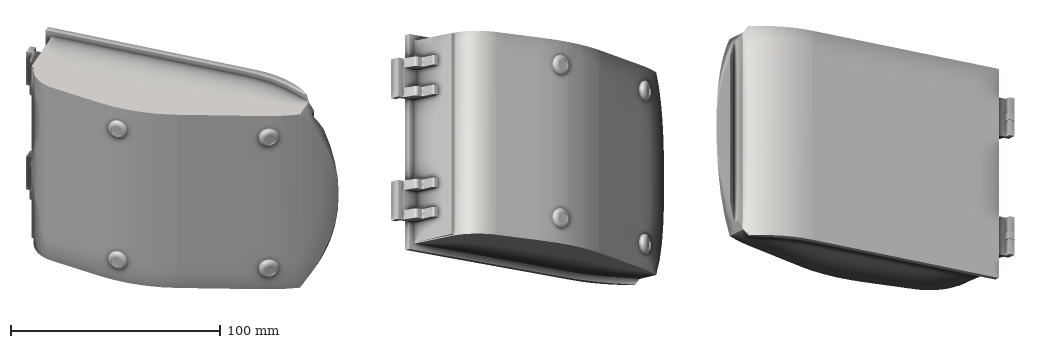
import cadquery as cq
import math


plate_height = 105.0
plate_thickness = 3.0
plate_middle_y = -plate_thickness / 2
plate_arc_start = 107.0
plate_arc_radius = 45.0
step_arc_start = 102.0
step_arc_radius = 65.0
step_arc_end = 131.0

body_height = plate_height - 2 * plate_thickness
body_left = plate_thickness
left_corner = (5.2, -42.3)
belly_corner = (64.3, -52.15)
nose_arc_start = (121.0, -32.6)
nose_arc_middle = (138.0, -24.8)
left_corner_radius = 17.0
belly_radius = 79.0

nose_tip_x = 153.5
nose_back_y = -13.0
nose_radius = 87.4
groove_x = 140.9
groove_depth = 3.5
groove_end_x = 145.8

wall_end_y = -30.0
wall_inset = 0.5
wall_height = body_height - 2 * wall_inset
wall_thickness = 3.0

hinge_width = 19.0
hinge_offset = 29.85
rib_width = 4.6
hook_left = -9.0
hook_right = -6.0
hook_bottom = -5.2
web_front = -5.7
rib_foot_x = -0.5
rib_foot_y = -13.1
rib_end_y = -21.0
rib_foot_fillet = 0.8
rib_tip_chamfer = 0.6
rib_round_start = (-4.9, -11.3)
rib_round_end_x = -3.4
rib_round_middle = (-4.4, -12.5)
nub_width = 3.6
nub_length = 3.2
nub_right = -5.5
nub_top = 0.5

screw_offset_z = 37.4
head_diameter = 10.0
head_rim = 0.7
head_height = 2.0
head_root = 2.0
dome_middle = (4.2, 1.55)
socket_width = 5.4
socket_depth = 0.5
belly_screw = (54.9, -50.0)
belly_screw_tilt = 0.0
nose_screw = (125.0, -31.5)
nose_screw_tilt = 33.0


def centered_prism(outline, height, z=0.0):
    """Extrude a closed XY outline so that its mid-height lies at z."""
    return outline.extrude(height).translate((0, 0, z - height / 2))


def nearest_edge(corner):
    """Selector for the Z edge through an XY corner."""
    return cq.selectors.NearestToPointSelector((*corner, 0))


def point_on_arc(start_x, start_y, radius, x):
    """Point at x on an arc that leaves (start_x, start_y) along +X and bends to -Y."""
    return (x, start_y - radius + math.sqrt(radius**2 - (x - start_x) ** 2))


def back_arc_points():
    """Middle and end of the rounded back, where it meets the nose."""
    drop = -nose_back_y
    end_x = plate_arc_start + math.sqrt(plate_arc_radius**2 - (plate_arc_radius - drop) ** 2)
    middle_x = (plate_arc_start + end_x) / 2
    middle = point_on_arc(plate_arc_start, 0, plate_arc_radius, middle_x)
    return middle, (end_x, nose_back_y)


def make_plate():
    back_middle, back_end = back_arc_points()
    step_middle_x = (step_arc_start + step_arc_end) / 2
    step_start = (step_arc_start, -plate_thickness)
    step_middle = point_on_arc(*step_start, step_arc_radius, step_middle_x)
    step_end = point_on_arc(*step_start, step_arc_radius, step_arc_end)
    outline = (
        cq.Workplane("XY")
        .lineTo(plate_arc_start, 0)
        .threePointArc(back_middle, back_end)
        .lineTo(*step_end)
        .threePointArc(step_middle, step_start)
        .lineTo(0, -plate_thickness)
        .close()
    )
    return centered_prism(outline, plate_height)


def make_body():
    back_middle, back_end = back_arc_points()
    outline = (
        cq.Workplane("XY")
        .moveTo(body_left, plate_middle_y)
        .lineTo(plate_arc_start, plate_middle_y)
        .lineTo(plate_arc_start, 0)
        .threePointArc(back_middle, back_end)
        .lineTo(groove_x, nose_back_y)
        .lineTo(groove_x, nose_back_y - groove_depth)
        .lineTo(groove_end_x, nose_back_y)
        .lineTo(nose_tip_x, nose_back_y)
        .threePointArc(nose_arc_middle, nose_arc_start)
        .lineTo(*belly_corner)
        .lineTo(*left_corner)
        .lineTo(body_left, -plate_thickness)
        .close()
    )
    body = centered_prism(outline, body_height)
    body = body.edges(nearest_edge(left_corner)).fillet(left_corner_radius)
    return body.edges(nearest_edge(belly_corner)).fillet(belly_radius)


def block(x_range, y_range, height, z):
    """Box between two X and two Y limits, centred on z."""
    (x0, x1), (y0, y1) = x_range, y_range
    return cq.Workplane("XY").box(x1 - x0, y1 - y0, height).translate(((x0 + x1) / 2, (y0 + y1) / 2, z))


def make_hinge_wall():
    x_range = (body_left, body_left + wall_thickness)
    return block(x_range, (wall_end_y, plate_middle_y), wall_height, 0)


def make_rib(z):
    outline = (
        cq.Workplane("XY")
        .moveTo(hook_right, -plate_thickness)
        .lineTo(body_left, -plate_thickness)
        .lineTo(body_left, rib_end_y)
        .lineTo(rib_foot_x + rib_tip_chamfer, rib_end_y)
        .lineTo(rib_foot_x, rib_end_y + rib_tip_chamfer)
        .lineTo(rib_foot_x, rib_foot_y - rib_foot_fillet)
        .radiusArc((rib_foot_x - rib_foot_fillet, rib_foot_y), -rib_foot_fillet)
        .lineTo(rib_round_end_x, rib_foot_y)
        .threePointArc(rib_round_middle, rib_round_start)
        .lineTo(hook_right, hook_bottom)
        .close()
    )
    return centered_prism(outline, rib_width, z)


def make_hinge(z):
    hinge = block((hook_left, hook_right), (hook_bottom, 0), hinge_width, z)
    hinge = hinge.union(block((hook_right, body_left), (web_front, -plate_thickness), hinge_width, z))
    nub_left = nub_right - nub_length
    hinge = hinge.union(block((nub_left, nub_right), (-plate_thickness, nub_top), nub_width, z))
    rib_offset = (hinge_width - rib_width) / 2
    for side in (-1, 1):
        hinge = hinge.union(make_rib(z + side * rib_offset))
    return hinge


def make_screw_head(position, tilt, z):
    """Domed hex-socket head whose axis points to -Y, turned by tilt degrees towards +X."""
    rim_radius = head_diameter / 2
    head = (
        cq.Workplane("XY")
        .moveTo(0, -head_root)
        .lineTo(rim_radius, -head_root)
        .lineTo(rim_radius, head_rim)
        .threePointArc(dome_middle, (socket_width / 2, head_height))
        .lineTo(0, head_height)
        .close()
        .revolve(360, (0, 0), (0, 1))
    )
    socket_corners = socket_width / math.cos(math.pi / 6)
    socket = (
        cq.Workplane("XZ", origin=(0, head_height, 0))
        .transformed(rotate=(0, 0, 90))
        .polygon(6, socket_corners)
        .extrude(socket_depth)
    )
    head = head.cut(socket).rotate((0, 0, 0), (0, 0, 1), 180 + tilt)
    return head.translate((*position, z))


def make_nose_envelope():
    """Cylinder along Y that rounds the nose and reaches past the hinge edge of the plate."""
    center_x = nose_tip_x - nose_radius
    return cq.Workplane("XZ").center(center_x, 0).circle(nose_radius).extrude(plate_height, both=True)


result = make_plate().union(make_body()).intersect(make_nose_envelope())
result = result.union(make_hinge_wall())
for direction in (-1, 1):
    result = result.union(make_hinge(direction * hinge_offset))
    result = result.union(make_screw_head(belly_screw, belly_screw_tilt, direction * screw_offset_z))
    result = result.union(make_screw_head(nose_screw, nose_screw_tilt, direction * screw_offset_z))